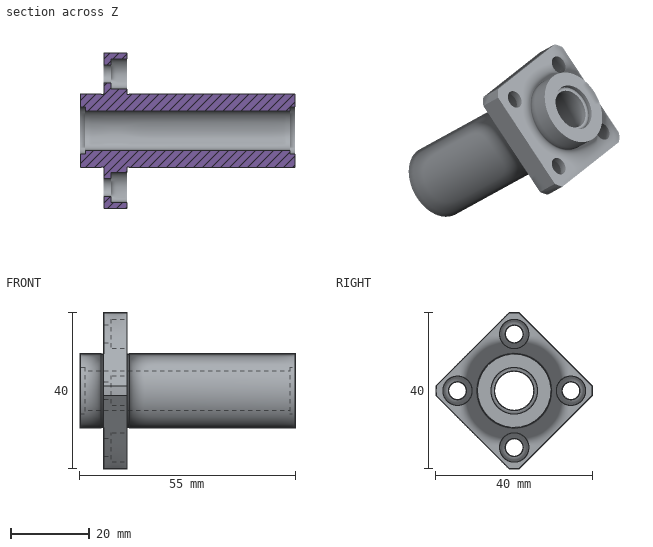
import cadquery as cq
import math

LENGTH = 55.0
BODY_DIAMETER = 19.0
BORE_DIAMETER = 10.0

RECESS_DIAMETER = 11.9
RECESS_DEPTH = 1.3

FLANGE_START = 6.0
FLANGE_THICKNESS = 6.0
FLANGE_END = FLANGE_START + FLANGE_THICKNESS
FLANGE_SIDE = 30.0
FLANGE_CORNER_DIAMETER = 40.0

HOLE_COUNT = 4
HOLE_DIAMETER = 4.5
HOLE_CIRCLE_DIAMETER = 29.0
COUNTERBORE_DIAMETER = 7.5
COUNTERBORE_DEPTH = 4.1

GROOVE_DIAMETER = 18.7
GROOVE_WIDTH = 0.6
GROOVE_ROOT_RADIUS = 0.25


def cylinder(diameter, start, length):
    """Cylinder on the X axis."""
    return cq.Workplane("YZ", origin=(start, 0, 0)).circle(diameter / 2).extrude(length)


def flange():
    square = (
        cq.Workplane("YZ", origin=(FLANGE_START, 0, 0))
        .transformed(rotate=(0, 0, 45))
        .rect(FLANGE_SIDE, FLANGE_SIDE)
        .extrude(FLANGE_THICKNESS)
    )
    return square.intersect(cylinder(FLANGE_CORNER_DIAMETER, FLANGE_START, FLANGE_THICKNESS))


def screw_holes():
    def on_hole_circle(diameter, start):
        return (
            cq.Workplane("YZ", origin=(start, 0, 0))
            .polarArray(HOLE_CIRCLE_DIAMETER / 2, 0, 360, HOLE_COUNT)
            .circle(diameter / 2)
            .extrude(FLANGE_END - start)
        )

    through_holes = on_hole_circle(HOLE_DIAMETER, FLANGE_START)
    counterbores = on_hole_circle(COUNTERBORE_DIAMETER, FLANGE_END - COUNTERBORE_DEPTH)
    return through_holes.union(counterbores)


def groove(start):
    ring = cylinder(BODY_DIAMETER, start, GROOVE_WIDTH)
    return ring.cut(cylinder(GROOVE_DIAMETER, start, GROOVE_WIDTH))


def root_fillet(face_x, direction):
    """Ring that blends a groove floor into the flange face at face_x."""
    floor_radius = GROOVE_DIAMETER / 2
    arc_offset = GROOVE_ROOT_RADIUS * (1 - math.sqrt(0.5))
    floor_end = face_x + direction * GROOVE_ROOT_RADIUS
    return (
        cq.Workplane("XY")
        .moveTo(face_x, BORE_DIAMETER / 2)
        .lineTo(floor_end, BORE_DIAMETER / 2)
        .lineTo(floor_end, floor_radius)
        .threePointArc(
            (face_x + direction * arc_offset, floor_radius + arc_offset),
            (face_x, floor_radius + GROOVE_ROOT_RADIUS),
        )
        .close()
        .revolve(360, (0, 0, 0), (1, 0, 0))
    )


def bore():
    hole = cylinder(BORE_DIAMETER, 0, LENGTH)
    for recess_start in (0, LENGTH - RECESS_DEPTH):
        hole = hole.union(cylinder(RECESS_DIAMETER, recess_start, RECESS_DEPTH))
    return hole


sleeve = cylinder(BODY_DIAMETER, 0, LENGTH)
for groove_start in (FLANGE_START - GROOVE_WIDTH, FLANGE_END):
    sleeve = sleeve.cut(groove(groove_start))

result = sleeve.union(flange().cut(screw_holes()))
for face_x, direction in ((FLANGE_START, -1), (FLANGE_END, 1)):
    result = result.union(root_fillet(face_x, direction))
result = result.cut(bore())